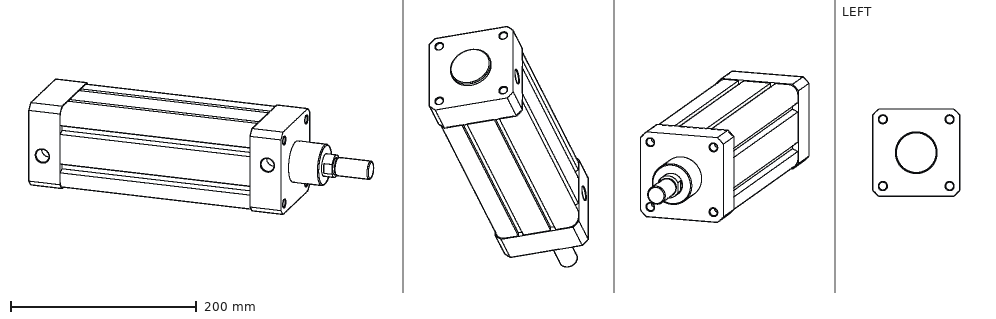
import cadquery as cq
overall_length = 378.0
boss_length = 4.0
cap_length = 35.5
tube_length = 216.5
neck_length = 34.0
collar_length = 2.3
wrench_length = 9.5
thread_length = 38.5

rear_cap_start = boss_length
tube_start = rear_cap_start + cap_length
front_cap_start = tube_start + tube_length
front_cap_end = front_cap_start + cap_length
neck_end = front_cap_end + neck_length
wrench_start = neck_end + collar_length
wrench_end = wrench_start + wrench_length
thread_start = overall_length - thread_length

cap_width = 94.0
cap_corner_diameter = 124.0
spigot_diameter = 45.0
spigot_chamfer = 1.0
mount_hole_spacing = 72.0
mount_hole_diameter = 8.5
mount_hole_depth = 16.0
mount_hole_chamfer = 0.8
port_diameter = 14.7
port_depth = 19.0
port_chamfer = 0.8
port_height = 10.0
port_inset = 15.5

tube_width = 92.5
tube_corner_radius = 10.5
slot_width = 5.5
slot_depth = 4.0
slot_offset = 18.0
sensor_groove_width = 10.2
sensor_groove_floor_width = 5.0
sensor_groove_depth = 6.0
sensor_groove_offset = 22.0

rod_diameter = 24.5
wrench_flat_width = 22.0
thread_diameter = 20.0
relief_diameter = 18.5
thread_chamfer = 1.0


def cylinder(diameter, start, end):
    """Cylinder on the X axis between two axial positions."""
    return cq.Workplane("YZ").workplane(offset=start).circle(diameter / 2).extrude(end - start)


def cap_block(start):
    """Square block whose long edges are turned to a large common diameter."""
    block = cq.Workplane("YZ").workplane(offset=start).rect(cap_width, cap_width).extrude(cap_length)
    return block.intersect(cylinder(cap_corner_diameter, start, start + cap_length))


def countersunk_hole(diameter, depth, chamfer, mouth, direction):
    """Cutter for a flat-bottomed hole with a 45 degree countersink at its mouth."""
    radius = diameter / 2
    bore = cq.Solid.makeCylinder(radius, depth, mouth, direction)
    countersink = cq.Solid.makeCone(radius + chamfer, radius, chamfer, mouth, direction)
    return bore.fuse(countersink)


def cut_mount_holes(cap, face_x, inward):
    """Four holes in the outer end face of a cap; inward is the sign of the drilling direction."""
    for y_side in (-1, 1):
        for z_side in (-1, 1):
            mouth = cq.Vector(face_x, y_side * mount_hole_spacing / 2, z_side * mount_hole_spacing / 2)
            cap = cap.cut(
                countersunk_hole(
                    mount_hole_diameter, mount_hole_depth, mount_hole_chamfer, mouth, cq.Vector(inward, 0, 0)
                )
            )
    return cap


def cut_port(cap, x, z):
    """Air port in the -Y side of a cap."""
    mouth = cq.Vector(x, -cap_width / 2, z)
    return cap.cut(countersunk_hole(port_diameter, port_depth, port_chamfer, mouth, cq.Vector(0, 1, 0)))


def make_rear_cap():
    boss = cylinder(spigot_diameter, 0, rear_cap_start).faces("<X").chamfer(spigot_chamfer)
    cap = cap_block(rear_cap_start).union(boss)
    cap = cut_mount_holes(cap, rear_cap_start, 1)
    return cut_port(cap, rear_cap_start + port_inset, -port_height)


def make_front_cap():
    neck = cylinder(spigot_diameter, front_cap_end, neck_end).faces(">X").chamfer(spigot_chamfer)
    cap = cap_block(front_cap_start).union(neck)
    cap = cut_mount_holes(cap, front_cap_end, -1)
    cap = cut_port(cap, front_cap_end - port_inset, port_height)
    return cap.cut(cylinder(rod_diameter, front_cap_start, neck_end))


def groove_cutter(mouth_width, floor_width, depth, offset):
    """Flat-bottomed groove along the top face of the tube, straight-sided or tapering to its floor."""
    surface = tube_width / 2
    floor = surface - depth
    return (
        cq.Workplane("YZ")
        .workplane(offset=tube_start)
        .polyline(
            [
                (offset - mouth_width / 2, surface),
                (offset + mouth_width / 2, surface),
                (offset + floor_width / 2, floor),
                (offset - floor_width / 2, floor),
            ]
        )
        .close()
        .extrude(tube_length)
    )


def make_tube():
    tube = cq.Workplane("YZ").workplane(offset=tube_start).rect(tube_width, tube_width).extrude(tube_length)
    tube = tube.edges("|X").fillet(tube_corner_radius)
    for side in (-1, 1):
        slot = groove_cutter(slot_width, slot_width, slot_depth, side * slot_offset)
        sensor_groove = groove_cutter(
            sensor_groove_width, sensor_groove_floor_width, sensor_groove_depth, side * sensor_groove_offset
        )
        for half_turn in (0, 180):
            tube = tube.cut(slot.rotate((0, 0, 0), (1, 0, 0), half_turn))
            tube = tube.cut(sensor_groove.rotate((0, 0, 0), (1, 0, 0), half_turn + 90))
    return tube


def make_rod():
    shank = cylinder(rod_diameter, front_cap_start, wrench_end)
    flat_depth = (rod_diameter - wrench_flat_width) / 2
    for side in (-1, 1):
        flat = cq.Workplane("XY").box(wrench_length, flat_depth, rod_diameter).translate(
            (wrench_start + wrench_length / 2, side * (rod_diameter - flat_depth) / 2, 0)
        )
        shank = shank.cut(flat)
    relief = cylinder(relief_diameter, wrench_end, thread_start)
    thread = cylinder(thread_diameter, thread_start, overall_length).faces("<X or >X").chamfer(thread_chamfer)
    return shank.union(relief).union(thread)


rear_cap = make_rear_cap()
tube = make_tube()
front_cap = make_front_cap()
rod = make_rod()

result = cq.Compound.makeCompound([rear_cap.val(), tube.val(), front_cap.val(), rod.val()])